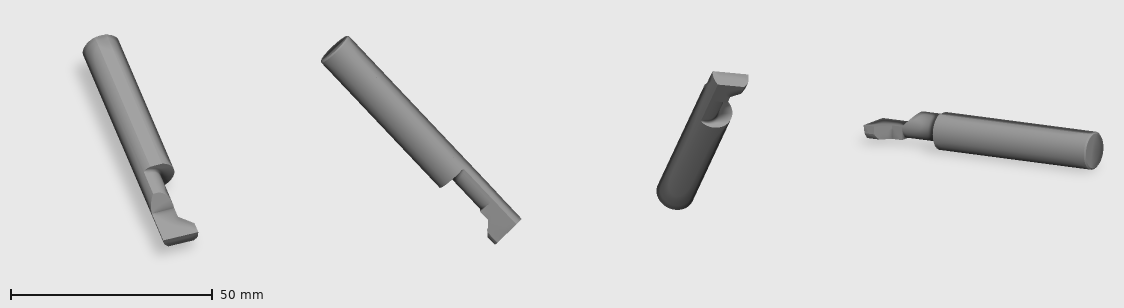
import cadquery as cq
import math

length = 63.5
shank_diameter = 9.5
shank_radius = shank_diameter / 2
shank_length = 43.5
flat_height = 4.5
rear_chamfer = 0.4

neck_radius = 3.4
neck_center_y = -2.35
neck_side_y = neck_center_y + neck_radius
shoulder_fillet = 0.5

face_start = 54.35
ramp_angle = 46.0
tip_y = 4.3
head_rear_x = 57.25
relief_angle = 7.5
end_angle = 1.6


def make_shank():
    """Full-length round bar with a chamfered rear end and a flat along the top."""
    bar = cq.Workplane("YZ").circle(shank_radius).extrude(length)
    bar = bar.faces("<X").chamfer(rear_chamfer)
    above_flat = (
        cq.Workplane("XY", origin=(0, 0, flat_height))
        .rect(2 * length, shank_diameter)
        .extrude(shank_radius)
    )
    return bar.cut(above_flat)


def make_neck_surround():
    """Material around the neck, with a rounded shoulder at the shank."""
    neck = (
        cq.Workplane("YZ", origin=(shank_length, 0, 0))
        .moveTo(-2 * shank_diameter, -neck_radius)
        .lineTo(neck_center_y, -neck_radius)
        .threePointArc((neck_side_y, 0), (neck_center_y, neck_radius))
        .lineTo(-2 * shank_diameter, neck_radius)
        .close()
        .extrude(length - shank_length)
    )
    block = (
        cq.Workplane("YZ", origin=(shank_length, 0, 0))
        .rect(2 * shank_diameter, 2 * shank_diameter)
        .extrude(length - shank_length)
    )
    surround = block.cut(neck)
    neck_edges = cq.selectors.BoxSelector(
        (shank_length - 0.65, -shank_diameter + 0.65, -neck_radius - 0.65),
        (shank_length + 0.65, neck_side_y + 0.65, neck_radius + 0.65),
        boundingbox=False,
    )
    return surround.edges("<X").edges(neck_edges).fillet(shoulder_fillet)


def make_head():
    """Cutting head below the axis plane, with a 45 degree back slope up to the tip."""
    slope_run = tip_y - neck_side_y
    plan = (
        cq.Workplane("XY", origin=(0, 0, -neck_radius))
        .polyline([
            (face_start, -shank_radius),
            (length, -shank_radius),
            (length, tip_y),
            (head_rear_x + slope_run, tip_y),
            (head_rear_x, neck_side_y),
            (face_start, neck_side_y),
        ])
        .close()
        .extrude(neck_radius)
    )
    round_bar = cq.Workplane("YZ").circle(shank_radius).extrude(length)
    return plan.intersect(round_bar)


def make_face_cut():
    """Clearance above the cutting face, entered by a steep ramp."""
    ramp_run = shank_radius / math.tan(math.radians(ramp_angle))
    return (
        cq.Workplane("XZ")
        .polyline([
            (face_start, 0),
            (length, 0),
            (length, shank_radius),
            (face_start - ramp_run, shank_radius),
        ])
        .close()
        .extrude(shank_radius, both=True)
    )


def make_end_cut():
    """Block beyond the end face, inclined for both clearance angles about the tip."""
    size = 2 * shank_diameter
    tip = (length, tip_y, 0)
    block = cq.Workplane("XY").box(size, 2 * size, 2 * size, centered=(False, True, True)).translate(tip)
    block = block.rotate(tip, (length, tip_y + 0.65, 0), relief_angle)
    return block.rotate(tip, (length, tip_y, 1), -end_angle)


result = (
    make_shank()
    .cut(make_neck_surround())
    .union(make_head())
    .cut(make_face_cut())
    .cut(make_end_cut())
)